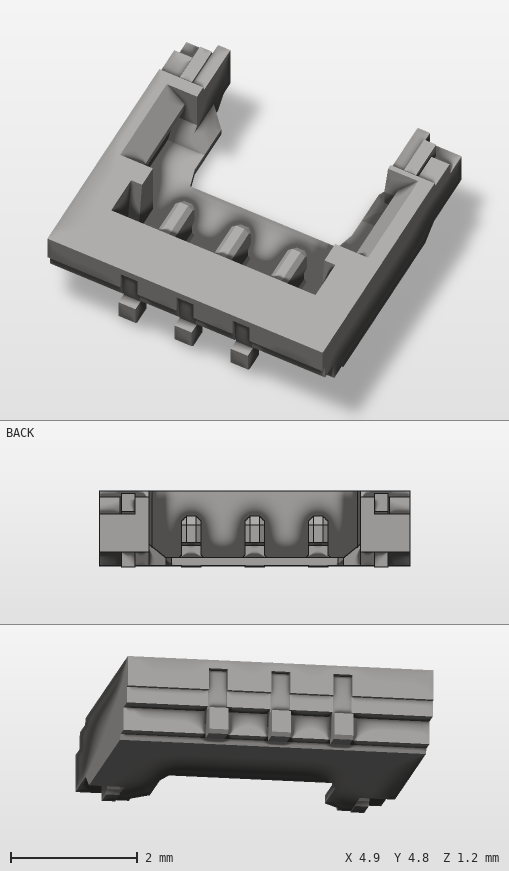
import cadquery as cq


WIDTH = 4.9
HALF_WIDTH = WIDTH / 2
LENGTH = 4.73
TOP_Z = 1.2
BASE_Z = 0.02
FLOOR_Z = 0.145

STEP_Z = 0.72
STEP_Y = 0.085
FOOT_TOP_Z = 0.465
FOOT_Y = 0.39
FOOT_Z = 0.1
FOOT_RAMP_START_Y = 0.645
FOOT_RAMP_END_Y = 0.705

ARM_INNER_X = 1.665
ARM_RIB_X = 1.885
ARM_BOTTOM_Z = 0.24
ARM_TOP_Z = 1.102
SHOULDER_Y = 3.805
SHOULDER_FOOT_Y = 3.84
OUTER_RAMP_START_Y = 3.495
OUTER_RAMP_END_Y = 3.795
RIB_RAMP_START_Y = 4.3
RIB_RAMP_END_Y = 4.51

LEDGE_Z = 0.84
LEDGE_FOOT_Y = 4.355
LEDGE_TOP_Y = 4.315
CHANNEL_X = 2.125

CAVITY_FRONT_Y = 0.965
CAVITY_SIDE_X = 1.82
NECK_RAMP_FOOT_Y = 1.51
NECK_RAMP_TOP_Y = 1.64
NECK_X = 1.62
POCKET_FRONT_Y = 2.01
POCKET_END_Y = 3.595
POCKET_TOP_X = 2.205
POCKET_SLOPE_Z = 0.87
UNDERCUT_X = 2.055
UNDERCUT_Z = 0.75
END_RELIEF_Y = 3.725

LUG_X = 1.4
LUG_TOP_Z = 0.36
LUG_TIP_Y = 3.915
LUG_ROOT_Y = 4.165
END_RAMP_FOOT_Y = 3.335
END_RAMP_TOP_Z = 0.465

FLOOR_EDGE_Y = 2.685
FLOOR_EDGE_X = 1.315
FLOOR_BEND_Y = 3.01

FITTING_OUTER_X = 2.1
FITTING_TOP_Z = 1.16
FITTING_UNDERSIDE_Z = 0.87
FITTING_FRONT_Y = 3.84
FITTING_REAR_Y = 4.53
FITTING_CHAMFER = 0.07

CONTACT_PITCH = 1.0
CONTACT_POSITIONS = (-CONTACT_PITCH, 0, CONTACT_PITCH)
CONTACT_WIDTH = 0.305
CONTACT_TOP_Z = 0.805
CONTACT_HEIGHT = CONTACT_TOP_Z - BASE_Z
CONTACT_UNDERSIDE_Z = 0.385
CONTACT_THROAT_Z = 0.345
CONTACT_TIP_Y = 2.03
CONTACT_CHAMFER = 0.08
NOSE_LENGTH = 0.145
NOSE_DROP = 0.135
BASE_FLARE = 0.045
CONTACT_BASE_END_Y = 1.85

SLOT_DEPTH = 0.11
SLOT_TOP_Z = 1.065
SLOT_CHAMFER = 0.04
TAIL_REACH = 0.065
TAIL_TOP_Z = 0.41
TAIL_HEEL_Y = 0.315
TAIL_HEEL_Z = 0.265
TAIL_CHAMFER = 0.06


def extrude_x(points, x_start, x_end):
    """Prism of a (Y, Z) outline between two X positions."""
    return cq.Workplane("YZ", origin=(x_start, 0, 0)).polyline(points).close().extrude(x_end - x_start)


def extrude_y(points, y_start, y_end):
    """Prism of an (X, Z) outline between two Y positions."""
    return cq.Workplane("XZ", origin=(0, y_start, 0)).polyline(points).close().extrude(y_start - y_end)


def extrude_z(points, z_start, z_end):
    """Prism of an (X, Y) outline between two Z positions."""
    return cq.Workplane("XY", origin=(0, 0, z_start)).polyline(points).close().extrude(z_end - z_start)


def block(x_range, y_range, z_range):
    """Axis-aligned box given by its limits."""
    (x0, x1), (y0, y1), (z0, z1) = x_range, y_range, z_range
    return cq.Workplane("XY").box(x1 - x0, y1 - y0, z1 - z0, centered=False).translate((x0, y0, z0))


def make_half_shell():
    """Right half of the outer block, before the cavity is removed."""
    profile = [
        (0, TOP_Z),
        (0, STEP_Z),
        (STEP_Y, STEP_Z),
        (STEP_Y, FOOT_TOP_Z),
        (FOOT_Y, FOOT_TOP_Z),
        (FOOT_Y, FOOT_Z),
        (FOOT_RAMP_START_Y, FOOT_Z),
        (FOOT_RAMP_END_Y, BASE_Z),
        (RIB_RAMP_START_Y, BASE_Z),
        (RIB_RAMP_END_Y, ARM_BOTTOM_Z),
        (LENGTH, ARM_BOTTOM_Z),
        (LENGTH, ARM_TOP_Z),
        (SHOULDER_FOOT_Y, ARM_TOP_Z),
        (SHOULDER_Y, TOP_Z),
    ]
    shell = extrude_x(profile, 0, HALF_WIDTH)

    outer_underside = extrude_x(
        [
            (OUTER_RAMP_START_Y, BASE_Z),
            (OUTER_RAMP_END_Y, ARM_BOTTOM_Z),
            (LENGTH, ARM_BOTTOM_Z),
            (LENGTH, BASE_Z),
        ],
        ARM_RIB_X,
        HALF_WIDTH,
    )
    ledge = extrude_x(
        [
            (LEDGE_FOOT_Y, LEDGE_Z),
            (LEDGE_TOP_Y, ARM_TOP_Z),
            (LENGTH, ARM_TOP_Z),
            (LENGTH, LEDGE_Z),
        ],
        ARM_RIB_X,
        HALF_WIDTH,
    )
    channel = block((ARM_RIB_X, CHANNEL_X), (FITTING_FRONT_Y, LENGTH), (LEDGE_Z, ARM_TOP_Z))
    return shell.cut(outer_underside).cut(ledge).cut(channel)


def make_lug():
    """Wedge on the inner face of the right arm, cut obliquely at its rear end."""
    wedge = extrude_y(
        [
            (LUG_X, BASE_Z),
            (LUG_X, FLOOR_Z),
            (ARM_INNER_X, LUG_TOP_Z),
            (ARM_INNER_X, BASE_Z),
        ],
        END_RAMP_FOOT_Y,
        LUG_ROOT_Y,
    )
    plan = extrude_z(
        [
            (LUG_X, END_RAMP_FOOT_Y),
            (ARM_INNER_X, END_RAMP_FOOT_Y),
            (ARM_INNER_X, LUG_ROOT_Y),
            (LUG_X, LUG_TIP_Y),
        ],
        BASE_Z,
        TOP_Z,
    )
    return wedge.intersect(plan)


def make_end_ramp(lug):
    """Ramp from the floor to the rear pocket wall, carried by the right arm and its lug."""
    ramp = extrude_x(
        [
            (END_RAMP_FOOT_Y, FLOOR_Z),
            (POCKET_END_Y, END_RAMP_TOP_Z),
            (POCKET_END_Y, FLOOR_Z),
        ],
        0,
        HALF_WIDTH,
    )
    arm = block((ARM_INNER_X, HALF_WIDTH), (END_RAMP_FOOT_Y, POCKET_END_Y), (BASE_Z, TOP_Z))
    return ramp.intersect(arm.union(lug))


def make_half_cavity():
    """Right half of the space between the arms and behind the front bar."""
    contact_space = block((0, NECK_X), (CAVITY_FRONT_Y, POCKET_FRONT_Y), (FLOOR_Z, TOP_Z))
    side_notch = extrude_x(
        [
            (CAVITY_FRONT_Y, FLOOR_Z),
            (NECK_RAMP_FOOT_Y, FLOOR_Z),
            (NECK_RAMP_TOP_Y, TOP_Z),
            (CAVITY_FRONT_Y, TOP_Z),
        ],
        0,
        CAVITY_SIDE_X,
    )
    pocket = extrude_y(
        [
            (0, FLOOR_Z),
            (UNDERCUT_X, FLOOR_Z),
            (UNDERCUT_X, UNDERCUT_Z),
            (ARM_RIB_X, UNDERCUT_Z),
            (ARM_RIB_X, POCKET_SLOPE_Z),
            (POCKET_TOP_X, TOP_Z),
            (0, TOP_Z),
        ],
        POCKET_FRONT_Y,
        POCKET_END_Y,
    )
    arm_gap = block((0, ARM_INNER_X), (POCKET_END_Y, LENGTH), (BASE_Z, TOP_Z))
    floor_opening = extrude_z(
        [
            (0, FLOOR_EDGE_Y),
            (FLOOR_EDGE_X, FLOOR_EDGE_Y),
            (LUG_X, FLOOR_BEND_Y),
            (LUG_X, LENGTH),
            (0, LENGTH),
        ],
        BASE_Z,
        TOP_Z,
    )
    cavity = contact_space.union(side_notch).union(pocket).union(arm_gap).union(floor_opening)
    lug = make_lug()
    return cavity.cut(make_end_ramp(lug)).cut(lug.cut(pocket))


def make_end_relief():
    """Sloped mouth at the rear end of the right pocket, which the left pocket lacks."""
    end_slope = extrude_x(
        [
            (POCKET_FRONT_Y, UNDERCUT_Z),
            (POCKET_END_Y, UNDERCUT_Z),
            (END_RELIEF_Y, TOP_Z),
            (POCKET_FRONT_Y, TOP_Z),
        ],
        ARM_INNER_X,
        HALF_WIDTH,
    )
    side_slope = extrude_y(
        [
            (ARM_INNER_X, UNDERCUT_Z),
            (ARM_RIB_X, UNDERCUT_Z),
            (ARM_RIB_X, POCKET_SLOPE_Z),
            (POCKET_TOP_X, TOP_Z),
            (ARM_INNER_X, TOP_Z),
        ],
        POCKET_FRONT_Y,
        END_RELIEF_Y,
    )
    return end_slope.intersect(side_slope)


def make_fitting():
    """Solder fitting of the right arm: a long head above a leg that reaches the board."""
    profile = [
        (FITTING_FRONT_Y, FITTING_TOP_Z),
        (FITTING_FRONT_Y, FITTING_CHAMFER),
        (FITTING_FRONT_Y + FITTING_CHAMFER, 0),
        (RIB_RAMP_START_Y, 0),
        (RIB_RAMP_START_Y, FITTING_UNDERSIDE_Z),
        (FITTING_REAR_Y, FITTING_UNDERSIDE_Z),
        (FITTING_REAR_Y, FITTING_TOP_Z),
    ]
    return extrude_x(profile, ARM_RIB_X, FITTING_OUTER_X)


def contact_section(y, top_z):
    """Closed cross-section of a contact blade at one Y position, chamfered along its top edges."""
    half = CONTACT_WIDTH / 2
    crown = half - CONTACT_CHAMFER
    points = [
        (-half, y, top_z - CONTACT_HEIGHT),
        (half, y, top_z - CONTACT_HEIGHT),
        (half, y, top_z - CONTACT_CHAMFER),
        (crown, y, top_z),
        (-crown, y, top_z),
        (-half, y, top_z - CONTACT_CHAMFER),
    ]
    return cq.Wire.makePolygon([cq.Vector(*point) for point in points], close=True)


def make_contact():
    """Contact blade with a sloping nose, on a flared base and centred on X = 0."""
    half = CONTACT_WIDTH / 2
    crown = half - CONTACT_CHAMFER
    base_half = half + BASE_FLARE
    nose_start_y = CONTACT_TIP_Y - NOSE_LENGTH
    shoulder = contact_section(nose_start_y, CONTACT_TOP_Z)
    stem = cq.Solid.makeLoft([contact_section(CAVITY_FRONT_Y, CONTACT_TOP_Z), shoulder], True)
    nose = cq.Solid.makeLoft([shoulder, contact_section(CONTACT_TIP_Y, CONTACT_TOP_Z - NOSE_DROP)], True)
    plan = extrude_z(
        [
            (-half, CAVITY_FRONT_Y),
            (half, CAVITY_FRONT_Y),
            (half, CONTACT_TIP_Y - CONTACT_CHAMFER),
            (crown, CONTACT_TIP_Y),
            (-crown, CONTACT_TIP_Y),
            (-half, CONTACT_TIP_Y - CONTACT_CHAMFER),
        ],
        BASE_Z,
        CONTACT_TOP_Z,
    )
    side = extrude_x(
        [
            (CAVITY_FRONT_Y, FLOOR_Z),
            (CONTACT_BASE_END_Y, FLOOR_Z),
            (CONTACT_BASE_END_Y, CONTACT_THROAT_Z),
            (CONTACT_TIP_Y - CONTACT_CHAMFER, CONTACT_UNDERSIDE_Z),
            (CONTACT_TIP_Y, CONTACT_UNDERSIDE_Z),
            (CONTACT_TIP_Y, CONTACT_TOP_Z),
            (CAVITY_FRONT_Y, CONTACT_TOP_Z),
        ],
        -half,
        half,
    )
    blade = cq.Workplane("XY").add(stem).union(cq.Workplane("XY").add(nose))
    blade = blade.intersect(plan).intersect(side)
    base = extrude_y(
        [
            (-base_half, FLOOR_Z),
            (base_half, FLOOR_Z),
            (half, FLOOR_Z + BASE_FLARE),
            (-half, FLOOR_Z + BASE_FLARE),
        ],
        CAVITY_FRONT_Y,
        CONTACT_BASE_END_Y,
    )
    return blade.union(base)


def make_tail():
    """Solder tail below the front bar, centred on X = 0."""
    profile = [
        (SLOT_DEPTH, FOOT_TOP_Z),
        (SLOT_DEPTH, TAIL_TOP_Z),
        (-TAIL_REACH, TAIL_TOP_Z),
        (-TAIL_REACH, TAIL_CHAMFER),
        (TAIL_CHAMFER - TAIL_REACH, 0),
        (TAIL_HEEL_Y, 0),
        (TAIL_HEEL_Y, TAIL_HEEL_Z),
        (FOOT_Y, TAIL_HEEL_Z),
        (FOOT_Y, FOOT_TOP_Z),
    ]
    return extrude_x(profile, -CONTACT_WIDTH / 2, CONTACT_WIDTH / 2)


def make_slot():
    """Upright slot in the front face above a tail, centred on X = 0."""
    profile = [
        (0, FOOT_TOP_Z),
        (SLOT_DEPTH, FOOT_TOP_Z),
        (SLOT_DEPTH, SLOT_TOP_Z - SLOT_CHAMFER),
        (SLOT_DEPTH + SLOT_CHAMFER, SLOT_TOP_Z),
        (0, SLOT_TOP_Z),
    ]
    return extrude_x(profile, -CONTACT_WIDTH / 2, CONTACT_WIDTH / 2)


half_part = make_half_shell().cut(make_half_cavity()).union(make_fitting())
result = half_part.union(half_part.mirror("YZ"))
result = result.cut(make_end_relief())

for contact_x in CONTACT_POSITIONS:
    offset = (contact_x, 0, 0)
    result = result.cut(make_slot().translate(offset))
    result = result.union(make_contact().translate(offset))
    result = result.union(make_tail().translate(offset))